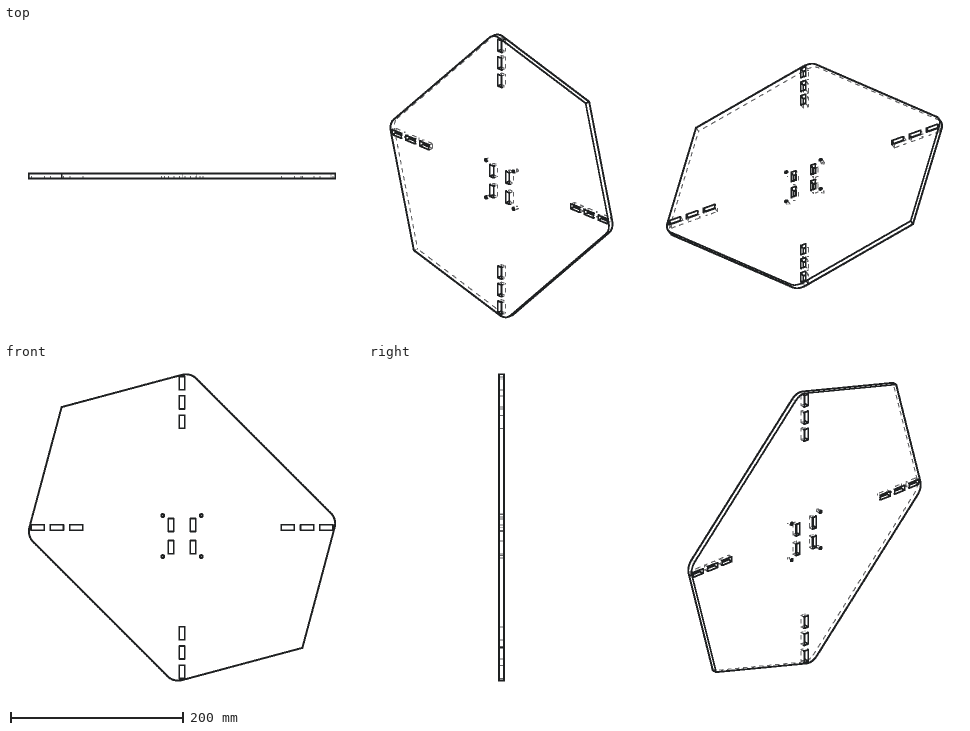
import cadquery as cq
import math

outer_size = 356.0
half_span = outer_size / 2
thickness = 6.0
sharp_corner = 140.0
corner_radius = 17.0
corner_angle = 120.0
edge_tilt = math.radians(15)

slot_length = 15.0
slot_width = thickness
slot_pitch = 22.5
slots_per_arm = 3
outer_slot_distance = 167.5

pattern_z = -10.0
pattern_slot_x = 12.8
pattern_slot_z = 12.8
hole_x = 22.5
hole_z = 24.0
hole_diameter = 3.2


def make_plate():
    bisector_angle = math.radians(corner_angle / 2) + edge_tilt
    center_offset = corner_radius / math.sin(math.radians(corner_angle / 2))
    corner_z = half_span - corner_radius + center_offset * math.sin(bisector_angle)
    corner_x = (corner_z - sharp_corner) / math.tan(edge_tilt) - sharp_corner
    outline = [
        (-sharp_corner, sharp_corner),
        (corner_x, corner_z),
        (corner_z, corner_x),
        (sharp_corner, -sharp_corner),
        (-corner_x, -corner_z),
        (-corner_z, -corner_x),
    ]
    plate = cq.Workplane("XZ").polyline(outline).close().extrude(thickness / 2, both=True)
    for x, z in outline:
        if abs(x) != abs(z):
            edge = cq.selectors.NearestToPointSelector((x, 0, z))
            plate = plate.edges("|Y").edges(edge).fillet(corner_radius)
    return plate


def slots(centers, size_x, size_z):
    sketch = cq.Workplane("XZ").pushPoints(centers)
    return sketch.rect(size_x, size_z).extrude(thickness, both=True)


def mirrored_points(x, z):
    """Four points around the centre of the mounting pattern."""
    return [(i * x, pattern_z + j * z) for i in (-1, 1) for j in (-1, 1)]


arm_distances = [
    side * (outer_slot_distance - i * slot_pitch) for side in (-1, 1) for i in range(slots_per_arm)
]
horizontal_slots = slots([(d, 0) for d in arm_distances], slot_length, slot_width)
vertical_slots = slots([(0, d) for d in arm_distances], slot_width, slot_length)
pattern_slots = slots(mirrored_points(pattern_slot_x, pattern_slot_z), slot_width, slot_length)
mounting_holes = (
    cq.Workplane("XZ")
    .pushPoints(mirrored_points(hole_x, hole_z))
    .circle(hole_diameter / 2)
    .extrude(thickness, both=True)
)

result = make_plate()
for cutter in (horizontal_slots, vertical_slots, pattern_slots, mounting_holes):
    result = result.cut(cutter)